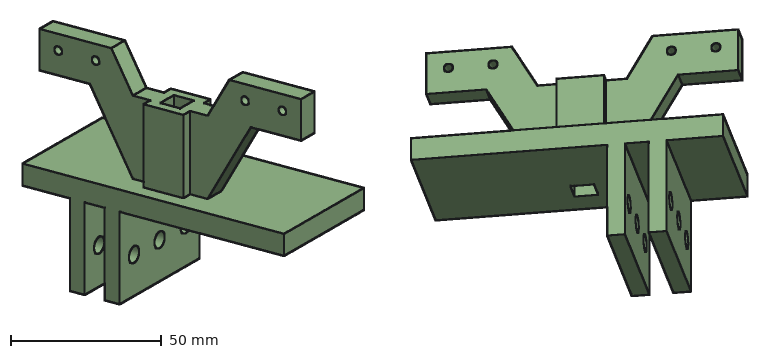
import cadquery as cq
import math

plate_length = 105.0
plate_width = 47.0
plate_thickness = 8.0
plate_front_y = -14.0
plate_center_y = plate_front_y + plate_width / 2
plate_bottom_z = -plate_thickness

tower_side = 16.0
tower_height = 30.0
bore_side = 8.0

arm_thickness = 8.0
pad_height = 15.0
arm_foot_half_width = 15.0
arm_lean = math.radians(30)
arm_top_z = tower_height + pad_height

pad_hole_diameter = 3.0
pad_hole_drop = 6.0
pad_hole_end_distances = (7.5, 22.5)

overall_height = 86.38
lug_thickness = 6.0
lug_gap = 8.0
lug_end_distance = 19.0
lug_length = overall_height - arm_top_z - plate_thickness
lug_bottom_z = plate_bottom_z - lug_length
first_lug_x = -plate_length / 2 + lug_end_distance
second_lug_x = first_lug_x + lug_thickness + lug_gap

lug_hole_diameter = 6.0
lug_hole_height = 15.0
lug_hole_front_distances = (8.5, 23.5, 38.75)


def upright_block(length, width, height, bottom_z):
    """Block centred on the Z axis, rising from bottom_z."""
    block = cq.Workplane("XY").box(length, width, height, centered=(True, True, False))
    return block.translate((0, 0, bottom_z))


def make_plate():
    plate = upright_block(plate_length, plate_width, plate_thickness, plate_bottom_z)
    return plate.translate((0, plate_center_y, 0))


def make_arms():
    """Web holding both arms, drawn in the XZ plane and symmetric about X = 0."""
    end_x = plate_length / 2
    pad_underside_x = arm_foot_half_width + tower_height * math.tan(arm_lean)
    pad_top_x = arm_foot_half_width + pad_height * math.tan(arm_lean)
    right_side = [
        (arm_foot_half_width, 0),
        (pad_underside_x, tower_height),
        (end_x, tower_height),
        (end_x, arm_top_z),
        (pad_top_x, arm_top_z),
        (arm_foot_half_width, tower_height),
    ]
    left_side = [(-x, z) for x, z in reversed(right_side)]
    outline = cq.Workplane("XZ").polyline(right_side + left_side).close()
    return outline.extrude(arm_thickness / 2, both=True)


def make_pad_holes():
    centers = []
    for distance in pad_hole_end_distances:
        x = plate_length / 2 - distance
        centers += [(-x, arm_top_z - pad_hole_drop), (x, arm_top_z - pad_hole_drop)]
    holes = cq.Workplane("XZ").pushPoints(centers).circle(pad_hole_diameter / 2)
    return holes.extrude(arm_thickness, both=True)


def make_lug(start_x):
    lug = upright_block(lug_thickness, plate_width, lug_length, lug_bottom_z)
    return lug.translate((start_x + lug_thickness / 2, plate_center_y, 0))


def make_lug_holes():
    hole_z = lug_bottom_z + lug_hole_height
    centers = [(plate_front_y + distance, hole_z) for distance in lug_hole_front_distances]
    span = 2 * lug_thickness + lug_gap
    holes = cq.Workplane("YZ", origin=(first_lug_x, 0, 0)).pushPoints(centers).circle(lug_hole_diameter / 2)
    return holes.extrude(span)


tower = upright_block(tower_side, tower_side, tower_height, 0)
bore = upright_block(bore_side, bore_side, tower_height + plate_thickness, plate_bottom_z)

body = make_plate().union(tower).union(make_arms())
for lug_x in (first_lug_x, second_lug_x):
    body = body.union(make_lug(lug_x))

result = body.cut(bore).cut(make_pad_holes()).cut(make_lug_holes())